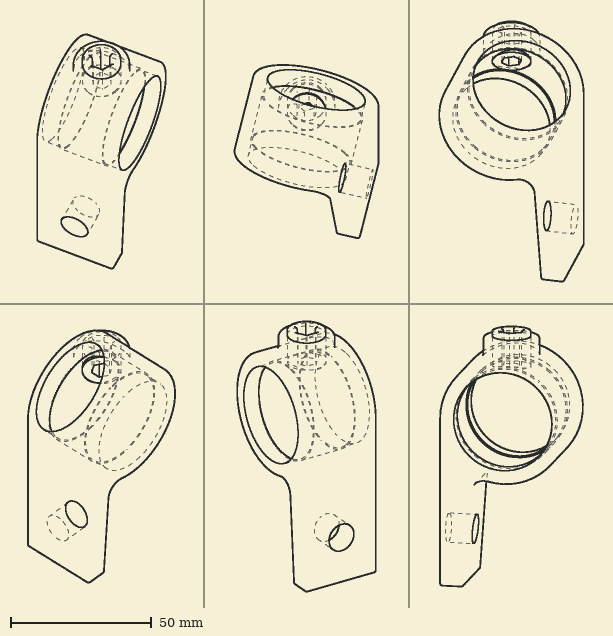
import cadquery as cq
import math

width = 30.0
ring_radius = 22.98
ring_center_z = 61.1
bore_radius = 17.8
edge_fillet = 1.0

relief_width = 17.3
relief_depth = 0.55

tab_foot_thickness = 8.55
tab_taper_angle = 4.1
tab_root_fillet = 5.0
mount_hole_diameter = 10.5
mount_hole_z = 18.0

boss_diameter = 20.0
boss_top_z = 89.0

screw_diameter = 13.8
screw_top_z = 91.0
screw_tip_protrusion = 0.55
screw_top_fillet = 0.55
hex_across_flats = 6.4
hex_sides = 6
hex_mouth_fillet = 1.3

hex_across_corners = hex_across_flats / math.cos(math.pi / hex_sides)
tab_face_y = -ring_radius
tab_foot_y = tab_face_y + tab_foot_thickness
tab_slope = math.tan(math.radians(tab_taper_angle))
screw_tip_z = ring_center_z + bore_radius - screw_tip_protrusion


def x_cylinder(radius, length):
    """Cylinder on the bore axis, centred on the YZ plane."""
    profile = cq.Workplane("YZ").center(0, ring_center_z).circle(radius)
    return profile.extrude(length / 2, both=True)


def z_cylinder(diameter, bottom_z, top_z):
    """Upright cylinder on the screw axis."""
    profile = cq.Workplane("XY").workplane(offset=bottom_z).circle(diameter / 2)
    return profile.extrude(top_z - bottom_z)


def make_tab():
    """Wedge that runs from the foot up into the ring, where the bore trims it."""
    tab_top_y = tab_foot_y + tab_slope * ring_center_z
    outline = cq.Workplane("YZ").polyline(
        [
            (tab_face_y, 0),
            (tab_foot_y, 0),
            (tab_top_y, ring_center_z),
            (tab_face_y, ring_center_z),
        ]
    )
    return outline.close().extrude(width / 2, both=True)


def make_ring_and_tab():
    """Solid ring and tab with a rounded inner corner and rounded outer edges."""
    body = x_cylinder(ring_radius, width).union(make_tab())

    root_box = cq.selectors.BoxSelector(
        (-width, tab_foot_y, edge_fillet),
        (width, ring_radius, ring_center_z - bore_radius),
    )
    body = body.edges("|X").edges(root_box).fillet(tab_root_fillet)
    return body.edges("<Z or <X or >X").fillet(edge_fillet)


def add_boss(body):
    """Boss on the ring, rounded at its rim and blended into the ring."""
    boss = z_cylinder(boss_diameter, ring_center_z, boss_top_z)
    body = body.union(boss)
    blend_reach = boss_diameter / 2 + edge_fillet
    blend_box = cq.selectors.BoxSelector(
        (-blend_reach, -blend_reach, ring_center_z + bore_radius),
        (blend_reach, blend_reach, boss_top_z + edge_fillet),
        boundingbox=True,
    )
    return body.edges(blend_box).edges("not %LINE").fillet(edge_fillet)


def make_housing():
    body = add_boss(make_ring_and_tab())
    mount_hole = (
        cq.Workplane("XZ", origin=(0, 0, mount_hole_z))
        .circle(mount_hole_diameter / 2)
        .extrude(ring_radius)
    )
    screw_hole = z_cylinder(screw_diameter, ring_center_z, boss_top_z)
    bore = x_cylinder(bore_radius, width)
    relief = x_cylinder(bore_radius + relief_depth, relief_width)
    return body.cut(bore).cut(relief).cut(screw_hole).cut(mount_hole)


def make_set_screw():
    """Plain set screw with a hexagonal drive that runs through it."""
    screw = z_cylinder(screw_diameter, screw_tip_z, screw_top_z)
    screw = screw.faces(">Z").edges().fillet(screw_top_fillet)
    hex_drive = (
        cq.Workplane("XY")
        .workplane(offset=screw_tip_z)
        .polygon(hex_sides, hex_across_corners)
        .extrude(screw_top_z - screw_tip_z)
    )
    screw = screw.cut(hex_drive)
    return screw.faces(">Z").edges("%LINE").fillet(hex_mouth_fillet)


housing = make_housing()
set_screw = make_set_screw()

result = cq.Compound.makeCompound([housing.val(), set_screw.val()])